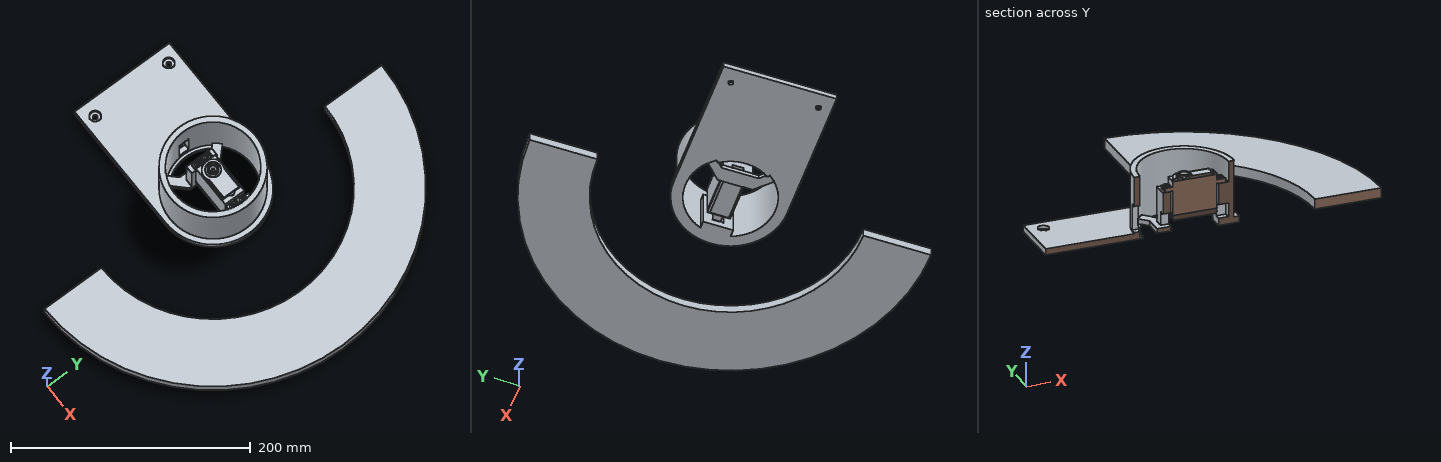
import cadquery as cq


arc_outer_radius = 177.7
arc_inner_radius = 117.5
arc_thickness = 9.5

plate_thickness = 6.0
plate_half_width = 50.0
plate_back = 124.7
total_height = 58.0
tube_outer_radius = 45.0
tube_inner_radius = 39.8

mount_hole_x = -111.0
mount_hole_y = 38.7
mount_hole_diameter = 4.3
counterbore_diameter = 10.0
counterbore_depth = 3.0

web_bottom = 2.5
web_top = 7.0
lip_radius = 37.0
bar_back_x = -24.5
bar_front_x = -11.7
spoke_front_offset = 4.0
spoke_back_offset = -8.0

slot_width = 10.0
slot_top = 31.0
passage_top = 19.2

case_back = -10.3
case_front = 30.0
case_width = 20.3
case_center_x = (case_front + case_back) / 2
servo_bottom = 11.7
lower_seam = 16.7
case_top = 48.0
cover_chamfer = 1.8

flange_back = -17.0
flange_front = 37.5
flange_width = 18.5
flange_bottom = 39.0
flange_thickness = 2.5
flange_top = flange_bottom + flange_thickness
flange_slit = 1.8
flange_rib_width = 1.0
flange_rib_height = 1.5

post_width = 26.5
back_post_outer = -19.2
front_post_inner = 31.0

relief_length = 1.5
relief_width = 8.0
relief_bottom = 15.0
relief_height = 3.2

cover_top = 50.5
nose_radius = 9.5
upper_cover_width = 18.0
upper_cover_front = 25.2
upper_cover_chamfer = 1.0
bump_center_x = 24.0
bump_radius = 3.2
bump_height = 1.8

collar_radius = 6.8
collar_height = 1.0
shaft_radius = 5.0
shaft_height = 3.2
shaft_socket_radius = 3.5
shaft_socket_depth = 3.0
shaft_hole_radius = 1.5

screw_back_x = -14.0
screw_front_x = 33.8
screw_y = 5.0
screw_shank_radius = 1.8
screw_depth = 5.5
screw_head_radius = 3.0
screw_head_height = 1.5
screw_socket_radius = 1.0
screw_socket_depth = 0.7
screw_points = [(x, y) for x in (screw_back_x, screw_front_x) for y in (-screw_y, screw_y)]


def block(x_start, x_end, width, z_start, z_end):
    """A box between two X and two Z positions, centred on Y = 0."""
    size = (x_end - x_start, width, z_end - z_start)
    return cq.Workplane("XY").box(*size, centered=(False, True, False)).translate((x_start, 0, z_start))


def cylinder(radius, z_start, z_end):
    """A cylinder on the Z axis."""
    return cq.Workplane("XY").workplane(offset=z_start).circle(radius).extrude(z_end - z_start)


def make_arc_table():
    """A flat half ring that opens toward -X."""
    return (
        cq.Workplane("XY")
        .moveTo(0, -arc_outer_radius)
        .threePointArc((arc_outer_radius, 0), (0, arc_outer_radius))
        .lineTo(0, arc_inner_radius)
        .threePointArc((arc_inner_radius, 0), (0, -arc_inner_radius))
        .close()
        .extrude(arc_thickness)
    )


def make_plate():
    """The plate with its rounded end and two counterbored holes."""
    return (
        cq.Workplane("XY")
        .moveTo(-plate_back, -plate_half_width)
        .lineTo(0, -plate_half_width)
        .threePointArc((plate_half_width, 0), (0, plate_half_width))
        .lineTo(-plate_back, plate_half_width)
        .close()
        .extrude(plate_thickness)
        .faces(">Z")
        .workplane(origin=(0, 0, plate_thickness))
        .pushPoints([(mount_hole_x, mount_hole_y), (mount_hole_x, -mount_hole_y)])
        .cboreHole(mount_hole_diameter, counterbore_diameter, counterbore_depth)
    )


def wedge(bar_x, spoke_offset, far_x=None):
    """A wedge as tall as the web, bounded by X = bar_x and the lines |y| = spoke_offset - x.

    With far_x it lies on the +X side of those lines, otherwise on the -X side.
    """
    outline = [(bar_x, spoke_offset - bar_x), (-tube_outer_radius, spoke_offset + tube_outer_radius)]
    if far_x is not None:
        outline.append((far_x, spoke_offset + tube_outer_radius))
    mirrored = [(x, -y) for x, y in reversed(outline)]
    return cq.Workplane("XY").polyline(outline + mirrored).close().extrude(web_top)


def make_back_wedge():
    """The wedge behind the crossbar and between the spokes."""
    return wedge(bar_back_x, spoke_back_offset)


def make_web():
    """The floor inside the tube, cut away in front of the crossbar and behind it."""
    floor = cylinder(tube_inner_radius, web_bottom, web_top)
    front = wedge(bar_front_x, spoke_front_offset, tube_outer_radius)
    return floor.cut(front).cut(make_back_wedge())


def make_lip():
    """A thin lip around the opening behind the crossbar, below the web."""
    ring = cylinder(tube_inner_radius, 0, web_bottom).cut(cylinder(lip_radius, 0, web_bottom))
    return ring.intersect(make_back_wedge())


def make_housing():
    """Plate, tube and the two servo posts in one piece."""
    tube = cylinder(tube_outer_radius, 0, total_height).cut(cylinder(tube_inner_radius, 0, total_height))
    plate_opening = cylinder(tube_inner_radius, 0, plate_thickness)
    back_post = block(back_post_outer, bar_front_x, post_width, web_bottom, flange_bottom)
    front_post = block(front_post_inner, tube_outer_radius, post_width, 0, flange_bottom)
    front_post = front_post.intersect(cylinder(tube_outer_radius, 0, flange_bottom))

    slot = block(-tube_outer_radius, back_post_outer, slot_width, web_top, slot_top)
    passage = block(back_post_outer, tube_inner_radius, slot_width, web_top, passage_top)
    passage = passage.intersect(cylinder(tube_inner_radius, 0, passage_top))
    screw_holes = (
        cq.Workplane("XY")
        .workplane(offset=flange_bottom - screw_depth)
        .pushPoints(screw_points)
        .circle(screw_shank_radius)
        .extrude(screw_depth)
    )
    housing = make_plate().cut(plate_opening)
    for part in (tube, make_web(), make_lip(), back_post, front_post):
        housing = housing.union(part)
    return housing.cut(slot).cut(passage).cut(screw_holes)


def make_lower_cover():
    """The servo's bottom cover with its cable strain relief."""
    cover = block(case_back, case_front, case_width, servo_bottom, lower_seam)
    cover = cover.faces("<Z").chamfer(cover_chamfer)
    relief = block(
        case_back - relief_length, case_back, relief_width, relief_bottom, relief_bottom + relief_height
    )
    return cover.union(relief)


def make_case():
    """The servo's middle case with slotted and ribbed flanges at both ends."""
    case = block(case_back, case_front, case_width, lower_seam, case_top)
    flange = block(flange_back, flange_front, flange_width, flange_bottom, flange_top)
    rib = block(flange_back, flange_front, flange_rib_width, flange_top, flange_top + flange_rib_height)
    case = case.union(flange).union(rib)
    for x, y in screw_points:
        hole = cylinder(screw_shank_radius, flange_bottom, flange_top).translate((x, y, 0))
        edge_x = flange_back if x < case_center_x else flange_front
        slit = block(min(x, edge_x), max(x, edge_x), flange_slit, flange_bottom, flange_top)
        case = case.cut(hole).cut(slit.translate((0, y, 0)))
    return case


def make_upper_cover():
    """The servo's top cover with a collar, bored for the shaft."""
    collar_top = cover_top + collar_height
    plate = block(0, upper_cover_front, upper_cover_width, case_top, cover_top)
    plate = plate.edges("|X and >Z").chamfer(upper_cover_chamfer)
    nose = cylinder(nose_radius, case_top, cover_top)
    bump = cylinder(bump_radius, case_top, case_top + bump_height).translate((bump_center_x, 0, 0))
    collar = cylinder(collar_radius, cover_top, collar_top)
    bore = cylinder(shaft_radius, case_top, collar_top)
    return plate.union(nose).union(bump).union(collar).cut(bore)


def make_shaft():
    """The output shaft with a stepped hole in its end."""
    shaft_top = cover_top + shaft_height
    socket_floor = shaft_top - shaft_socket_depth
    shaft = cylinder(shaft_radius, case_top, shaft_top)
    socket = cylinder(shaft_socket_radius, socket_floor, shaft_top)
    hole = cylinder(shaft_hole_radius, case_top, socket_floor)
    return shaft.cut(socket).cut(hole)


def make_screw(x, y):
    """A round-socket screw that passes through a flange into a post."""
    head_top = flange_top + screw_head_height
    shank = cylinder(screw_shank_radius, flange_bottom - screw_depth, flange_top)
    head = cylinder(screw_head_radius, flange_top, head_top)
    socket = cylinder(screw_socket_radius, head_top - screw_socket_depth, head_top)
    return shank.union(head).cut(socket).translate((x, y, 0))


arc_table = make_arc_table()
housing = make_housing()
lower_cover = make_lower_cover()
case = make_case()
upper_cover = make_upper_cover()
shaft = make_shaft()
screws = [make_screw(x, y) for x, y in screw_points]

result = cq.Compound.makeCompound(
    [
        arc_table.val(),
        housing.val(),
        lower_cover.val(),
        case.val(),
        upper_cover.val(),
        shaft.val(),
        *[screw.val() for screw in screws],
    ]
)